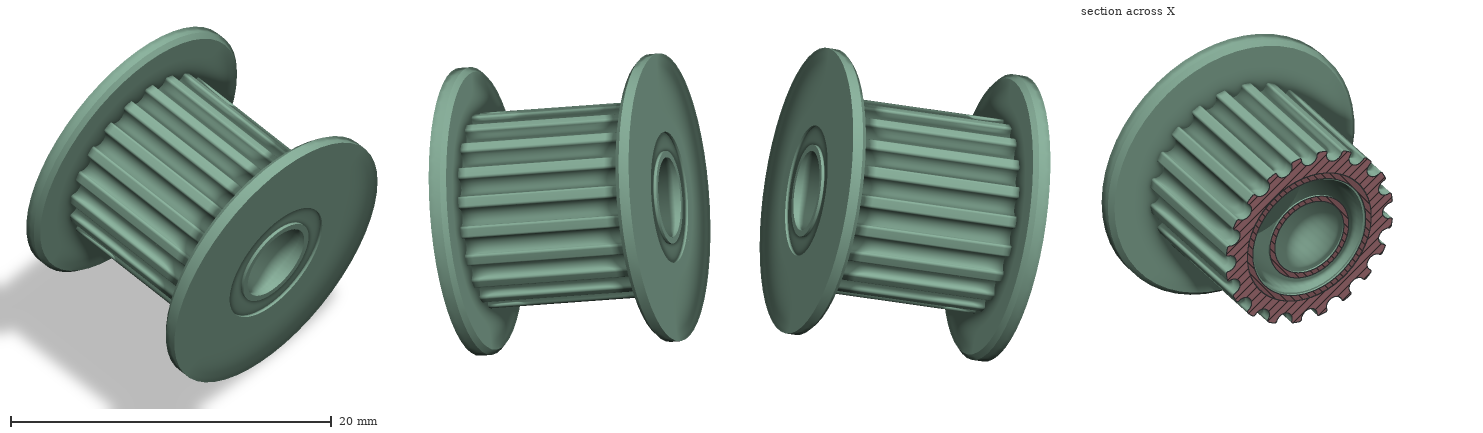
import cadquery as cq
import math


pulley_length = 13.0
flange_diameter = 18
left_flange_width = 0.94
left_flange_chamfer = 0.29
right_flange_width = 1.05
right_flange_chamfer = 0.3
right_flange_start = pulley_length - right_flange_width

tooth_count = 20
tooth_pitch_angle = 360 / tooth_count
tip_diameter = 12.22
tip_radius = tip_diameter / 2
tip_fillet = 0.15
groove_depth = 0.75
groove_radius = 0.55

bearing_diameter = 9
bearing_width = 3.0
bearing_bore = 5.0
shield_outer_diameter = 8.2
shield_inner_diameter = 5.8
shield_recess = 0.2
bearing_starts = (0, pulley_length - bearing_width)

shoulder_bore = 8.0

edge_tolerance = 0.002


def disc(diameter, start, length):
    """Solid cylinder along X that begins at X = start."""
    return cq.Workplane("YZ", origin=(start, 0, 0)).circle(diameter / 2).extrude(length)


def ring(outer_diameter, inner_diameter, start, length):
    """Hollow cylinder along X that begins at X = start."""
    return disc(outer_diameter, start, length).cut(disc(inner_diameter, start, length))


def make_groove(start, length):
    """Cutter for the belt groove on the +Y axis: a half-round bottom with straight walls."""
    centre = tip_radius - groove_depth + groove_radius
    open_end = tip_radius + groove_radius
    return (
        cq.Workplane("YZ", origin=(start, 0, 0))
        .moveTo(open_end, -groove_radius)
        .lineTo(centre, -groove_radius)
        .threePointArc((centre - groove_radius, 0), (centre, groove_radius))
        .lineTo(open_end, groove_radius)
        .close()
        .extrude(length)
    )


def lies_on_tip(edge):
    """True for an edge whose middle is on the cylinder through the tooth tips."""
    middle = edge.Center()
    return abs(math.hypot(middle.y, middle.z) - tip_radius) < edge_tolerance


def make_drum():
    """Toothed drum between the flanges, with both edges of every tooth tip rounded."""
    length = right_flange_start - left_flange_width
    drum = disc(tip_diameter, left_flange_width, length)
    groove = make_groove(left_flange_width, length)
    for index in range(tooth_count):
        drum = drum.cut(groove.rotate((0, 0, 0), (1, 0, 0), index * tooth_pitch_angle))
    return drum.edges("|X").filter(lies_on_tip).fillet(tip_fillet)


def make_pulley():
    """Drum and flanges in one piece, bored through and counterbored for the bearings."""
    left_flange = disc(flange_diameter, 0, left_flange_width)
    left_flange = left_flange.faces(">X").chamfer(left_flange_chamfer)
    right_flange = disc(flange_diameter, right_flange_start, right_flange_width)
    right_flange = right_flange.faces("<X").chamfer(right_flange_chamfer)

    body = make_drum().union(left_flange).union(right_flange)
    body = body.cut(disc(shoulder_bore, 0, pulley_length))
    for start in bearing_starts:
        body = body.cut(disc(bearing_diameter, start, bearing_width))
    return body


def make_bearing(start):
    """Bearing with a shallow ring-shaped shield recess in each end face."""
    bearing = ring(bearing_diameter, bearing_bore, start, bearing_width)
    far_recess_start = start + bearing_width - shield_recess
    for recess_start in (start, far_recess_start):
        recess = ring(shield_outer_diameter, shield_inner_diameter, recess_start, shield_recess)
        bearing = bearing.cut(recess)
    return bearing


pulley = make_pulley()
bearings = [make_bearing(start) for start in bearing_starts]

bearing_solids = [bearing.solids().val() for bearing in bearings]
result = cq.Compound.makeCompound([pulley.solids().val(), *bearing_solids])